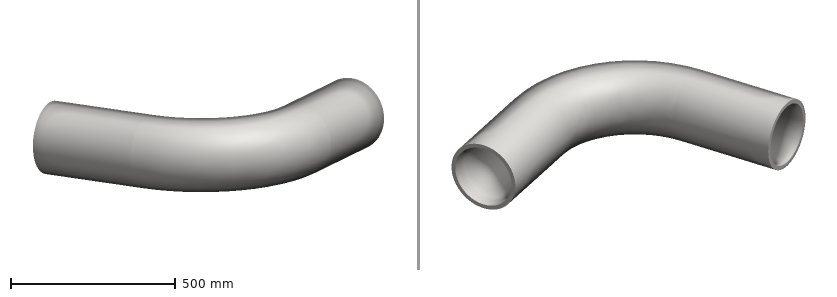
import cadquery as cq
import math

overall_size = 787.5
outer_diameter = 225.0
inner_diameter = 198.5
straight_length = 338.0

bend_radius = overall_size - outer_diameter / 2 - straight_length

bend_start = (straight_length, 0)
bend_middle = (
    straight_length + bend_radius * math.sin(math.pi / 4),
    bend_radius * (1 - math.cos(math.pi / 4)),
)
bend_end = (straight_length + bend_radius, bend_radius)
pipe_end = (bend_end[0], bend_end[1] + straight_length)

centreline = (
    cq.Workplane("XY")
    .lineTo(*bend_start)
    .threePointArc(bend_middle, bend_end)
    .lineTo(*pipe_end)
)

result = (
    cq.Workplane("YZ")
    .circle(outer_diameter / 2)
    .circle(inner_diameter / 2)
    .sweep(centreline)
)